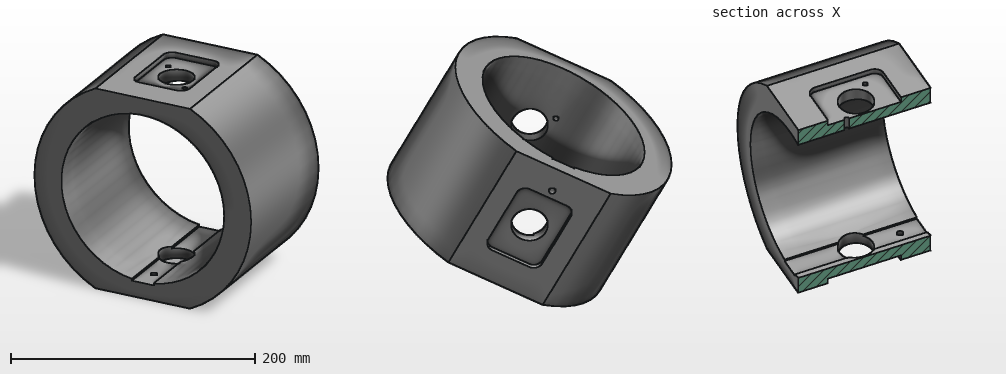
import cadquery as cq

outer_diameter = 200.0
bore_diameter = 150.0
ring_length = 120.0
height_over_flats = 180.0

pocket_width = 50.0
pocket_length = 66.0
pocket_corner_radius = 8.0
pocket_depth = 5.0

port_diameter = 30.0

screw_hole_diameter = 4.3
screw_offset = 16.0

groove_width = 20.0
groove_depth = 1.0

groove_hole_diameter = 5.5
groove_hole_y = -40.0

half_height = height_over_flats / 2


def make_body():
    """Tube along Y, trimmed to the height over its two flats."""
    tube = (
        cq.Workplane("XZ")
        .circle(outer_diameter / 2)
        .circle(bore_diameter / 2)
        .extrude(ring_length / 2, both=True)
    )
    flats_envelope = cq.Workplane("XY").box(outer_diameter, ring_length, height_over_flats)
    return tube.intersect(flats_envelope)


def make_pocket():
    """Rounded rectangular pocket, open at the top flat."""
    return (
        cq.Workplane("XY", origin=(0, 0, half_height - pocket_depth))
        .rect(pocket_width, pocket_length)
        .extrude(pocket_depth)
        .edges("|Z")
        .fillet(pocket_corner_radius)
    )


def make_port():
    """Vertical cylinder that opens both the top and the bottom wall."""
    return cq.Workplane("XY").circle(port_diameter / 2).extrude(half_height, both=True)


def make_screw_holes():
    """Two vertical holes from the top flat into the bore."""
    return (
        cq.Workplane("XY")
        .pushPoints([(-screw_offset, screw_offset), (screw_offset, -screw_offset)])
        .circle(screw_hole_diameter / 2)
        .extrude(half_height)
    )


def make_groove():
    """Full-length groove reaching from the bore axis to the groove floor."""
    groove_height = bore_diameter / 2 + groove_depth
    return cq.Workplane("XY").box(
        groove_width, ring_length, groove_height, centered=(True, True, False)
    ).translate((0, 0, -groove_height))


def make_groove_hole():
    """Vertical hole through the bottom wall in the middle of the groove."""
    return (
        cq.Workplane("XY")
        .center(0, groove_hole_y)
        .circle(groove_hole_diameter / 2)
        .extrude(-half_height)
    )


top_pocket = make_pocket()

result = (
    make_body()
    .cut(top_pocket)
    .cut(top_pocket.mirror("XY"))
    .cut(make_port())
    .cut(make_screw_holes())
    .cut(make_groove())
    .cut(make_groove_hole())
)